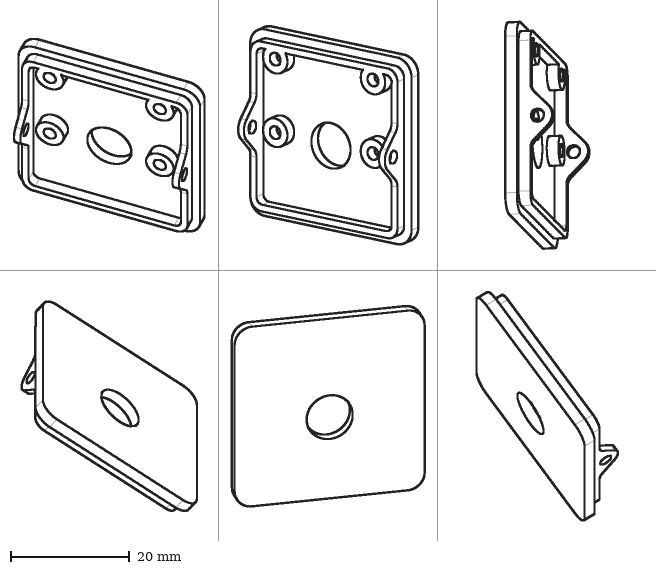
import cadquery as cq
import math

plate_side = 33.0
plate_thickness = 2.0
plate_corner_radius = 3.0

rim_side = 30.0
rim_height = 2.0
rim_wall = 1.2
rim_corner_radius = 2.0
pocket_corner_radius = 1.2

boss_diameter = 5.0
boss_hole_diameter = 2.2
boss_x = 10.0
boss_heights = (-0.6, 12.4)

opening_diameter = 8.0
opening_z = -1.6

lug_hole_diameter = 2.2
lug_tip_radius = 2.5
lug_flank_angle = math.radians(45)
lug_root_radius = 2.0
total_depth = 7.75

back_y = total_depth / 2
plate_front_y = back_y - plate_thickness
rim_front_y = plate_front_y - rim_height
lug_center_y = -total_depth / 2 + lug_tip_radius


def rounded_block(side, corner_radius, start_y, depth):
    """Square block with rounded corners, running from start_y towards -Y."""
    block = cq.Workplane("XZ", origin=(0, start_y, 0)).rect(side, side).extrude(depth)
    return block.edges("|Y").fillet(corner_radius)


def round_bar(diameter, x, z, start_y, depth):
    """Cylinder running from start_y towards -Y."""
    return cq.Workplane("XZ", origin=(x, start_y, z)).circle(diameter / 2).extrude(depth)


def make_rim():
    pocket_side = rim_side - 2 * rim_wall
    outside = rounded_block(rim_side, rim_corner_radius, plate_front_y, rim_height)
    pocket = rounded_block(pocket_side, pocket_corner_radius, plate_front_y, rim_height)
    return outside.cut(pocket)


def make_lug(start_x):
    """Lug with a round tip, straight flanks and concave roots; one wall thick along +X."""
    sin_a = math.sin(lug_flank_angle)
    cos_a = math.cos(lug_flank_angle)
    half_angle = lug_flank_angle / 2

    tip_y = lug_center_y - lug_tip_radius * cos_a
    tip_z = lug_tip_radius * sin_a

    corner_z = tip_z + (rim_front_y - tip_y) / math.tan(lug_flank_angle)
    tangent = lug_root_radius * math.tan(half_angle)
    rim_z = corner_z + tangent
    flank_y = rim_front_y - tangent * sin_a
    flank_z = corner_z - tangent * cos_a
    root_mid_y = rim_front_y - lug_root_radius * (1 - math.cos(half_angle))
    root_mid_z = rim_z - lug_root_radius * math.sin(half_angle)

    lug = (
        cq.Workplane("YZ", origin=(start_x, 0, 0))
        .moveTo(plate_front_y, rim_z)
        .lineTo(rim_front_y, rim_z)
        .threePointArc((root_mid_y, root_mid_z), (flank_y, flank_z))
        .lineTo(tip_y, tip_z)
        .threePointArc((-total_depth / 2, 0), (tip_y, -tip_z))
        .lineTo(flank_y, -flank_z)
        .threePointArc((root_mid_y, -root_mid_z), (rim_front_y, -rim_z))
        .lineTo(plate_front_y, -rim_z)
        .close()
        .extrude(rim_wall)
    )
    return lug


def make_lug_hole():
    """Bar along X that pierces both lugs."""
    bar = cq.Workplane("YZ").center(lug_center_y, 0).circle(lug_hole_diameter / 2)
    return bar.extrude(rim_side / 2, both=True)


body = rounded_block(plate_side, plate_corner_radius, back_y, plate_thickness)
body = body.union(make_rim())

for lug_x in (-rim_side / 2, rim_side / 2 - rim_wall):
    body = body.union(make_lug(lug_x))

boss_places = [(x, z) for x in (-boss_x, boss_x) for z in boss_heights]
for x, z in boss_places:
    body = body.union(round_bar(boss_diameter, x, z, plate_front_y, rim_height))

for x, z in boss_places:
    body = body.cut(round_bar(boss_hole_diameter, x, z, plate_front_y, rim_height))

body = body.cut(round_bar(opening_diameter, 0, opening_z, back_y, plate_thickness))
result = body.cut(make_lug_hole())